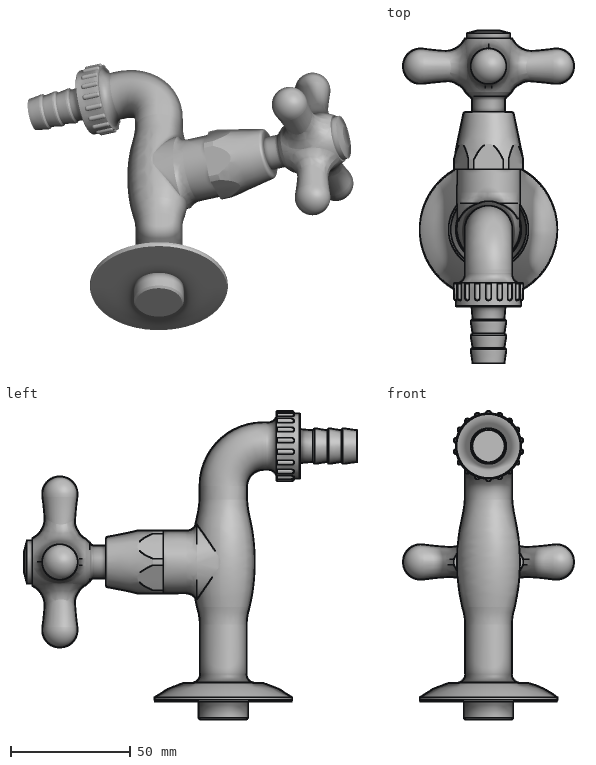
import cadquery as cq
import math


stub_radius = 10.5
stub_chamfer = 0.8
flange_bottom_z = 7.6
flange_radius = 29.0
flange_edge_height = 1.8
flange_bevel_height = 0.9
flange_bevel_inset = 0.3
flange_top_z = 15.5
flange_top_radius = 16.8
flange_dome_bulge = 0.7
recess_rim_radius = 15.9
recess_floor_radius = 13.8
recess_floor_z = 11.0

pipe_radius = 10.05
lower_pipe_radius = 9.9
collar_radius = 12.5
collar_top_z = 15.7
collar_flare_height = 3.8
valve_axis_z = 66.3
bulge_radius = 13.3
bulge_half_height = 18.95
bulge_shoulder_drop = 2.2
bulge_blend_height = 7.3

spout_axis_z = 115.0
bend_radius = 16.85
bend_angle = 90
spout_straight = 1.3
nut_back_y = -22.3
nut_front_y = -32.4
nut_radius = 13.8
nut_chamfer = 0.4
flare_end_radius = 12.4
rib_radius = 1.1
rib_height = 1.0
rib_count = 18
rib_length = 6.4
rib_bevel = 0.4
barb_end_y = -56.2
barb_root_radius = 7.2
barb_neck_radius = 6.75
barb_crest_radius = 7.5
barb_step_length = 0.7
barb_land_length = 0.65
barb_count = 3

branch_radius = 13.25
branch_end_y = 25.3
branch_flare_radius = 4.6
branch_flare_start_y = 15.5
branch_flare_depth = 4.4
branch_flare_steps = 5
bonnet_radius = 14.6
bonnet_cylinder_length = 4.2
bonnet_end_y = 49.45
bonnet_tip_radius = 10.5
bonnet_edge_radius = 1.3
bonnet_flat_count = 6
stem_radius = 7.0

hub_front_y = 53.9
hub_collar_y = 56.0
hub_collar_radius = 8.1
hub_barrel_front_y = 57.8
hub_barrel_front_radius = 9.8
hub_centre_y = 68.65
hub_radius = 12.7
hub_back_y = 80.3
hub_back_radius = 10.0
button_radius = 9.2
button_edge_y = 82.5
button_face_y = 83.74
button_face_radius = 4.5
handle_span = 72.0
knob_radius = 7.5
knob_tangent_offset = 1.1
neck_radius = 6.2
neck_start = 10.0
arm_fillet = 9.0
arm_count = 4


def revolve_about_z(outline):
    return outline.close().revolve(360, (0, 0), (0, 1))


def revolve_about_y(outline, axis_z):
    return outline.close().revolve(360, (0, 0), (0, 1)).translate((0, 0, axis_z))


def make_stub_and_flange():
    stub = cq.Workplane("XY").circle(stub_radius).extrude(flange_top_z)
    stub = stub.faces("<Z").edges().chamfer(stub_chamfer)

    edge_z = flange_bottom_z + flange_edge_height
    dome_run = flange_radius - flange_top_radius
    dome_rise = flange_top_z - edge_z
    dome_chord = math.hypot(dome_run, dome_rise)
    dome_middle = (
        (flange_radius + flange_top_radius) / 2 + flange_dome_bulge * dome_rise / dome_chord,
        (edge_z + flange_top_z) / 2 + flange_dome_bulge * dome_run / dome_chord,
    )
    flange = revolve_about_z(
        cq.Workplane("XZ")
        .moveTo(0, flange_bottom_z)
        .lineTo(flange_radius - flange_bevel_inset, flange_bottom_z)
        .lineTo(flange_radius, flange_bottom_z + flange_bevel_height)
        .lineTo(flange_radius, edge_z)
        .threePointArc(dome_middle, (flange_top_radius, flange_top_z))
        .lineTo(recess_rim_radius, flange_top_z)
        .lineTo(recess_floor_radius, recess_floor_z)
        .lineTo(0, recess_floor_z)
    )
    return stub.union(flange)


def make_column():
    shoulder_radius = bulge_radius - bulge_shoulder_drop
    lower_shoulder_z = valve_axis_z - bulge_half_height
    upper_shoulder_z = valve_axis_z + bulge_half_height
    pipe_top_z = spout_axis_z - bend_radius
    flare_middle = (
        collar_radius - (collar_radius - lower_pipe_radius) * math.sin(math.pi / 4),
        collar_top_z + collar_flare_height * (1 - math.cos(math.pi / 4)),
    )
    return revolve_about_z(
        cq.Workplane("XZ")
        .moveTo(0, flange_bottom_z)
        .lineTo(collar_radius, flange_bottom_z)
        .lineTo(collar_radius, collar_top_z)
        .threePointArc(flare_middle, (lower_pipe_radius, collar_top_z + collar_flare_height))
        .lineTo(lower_pipe_radius, lower_shoulder_z - bulge_blend_height)
        .tangentArcPoint((shoulder_radius, lower_shoulder_z), relative=False)
        .threePointArc((bulge_radius, valve_axis_z), (shoulder_radius, upper_shoulder_z))
        .tangentArcPoint((pipe_radius, upper_shoulder_z + bulge_blend_height), relative=False)
        .lineTo(pipe_radius, pipe_top_z)
        .lineTo(0, pipe_top_z)
    )


def make_branch():
    straight = (
        cq.Workplane("XZ", origin=(0, branch_end_y, valve_axis_z))
        .circle(branch_radius)
        .extrude(branch_end_y - branch_flare_start_y)
    )
    flare = cq.Workplane("XZ", origin=(0, branch_flare_start_y, valve_axis_z))
    section_step = branch_flare_depth / branch_flare_steps
    for index in range(branch_flare_steps + 1):
        depth = index * section_step
        rise = branch_flare_radius - math.sqrt(branch_flare_radius**2 - depth**2)
        flare = flare.ellipse(branch_radius, branch_radius + rise)
        if index < branch_flare_steps:
            flare = flare.workplane(offset=section_step)
    root_y = branch_flare_start_y - branch_flare_depth
    root = (
        cq.Workplane("XZ", origin=(0, root_y, valve_axis_z))
        .ellipse(branch_radius, branch_radius + rise)
        .extrude(root_y)
    )
    return straight.union(flare.loft()).union(root)


def make_elbow():
    bend = (
        cq.Workplane("XY", origin=(0, 0, spout_axis_z - bend_radius))
        .circle(pipe_radius)
        .revolve(bend_angle, (-bend_radius, -bend_radius), (bend_radius, -bend_radius))
    )
    flare_start_y = -bend_radius - spout_straight
    flare_length = flare_start_y - nut_back_y
    flare_middle = (
        pipe_radius + (flare_end_radius - pipe_radius) * (1 - math.cos(math.pi / 4)),
        flare_start_y - flare_length * math.sin(math.pi / 4),
    )
    spout_end = revolve_about_y(
        cq.Workplane("XY")
        .moveTo(0, -bend_radius)
        .lineTo(pipe_radius, -bend_radius)
        .lineTo(pipe_radius, flare_start_y)
        .threePointArc(flare_middle, (flare_end_radius, nut_back_y))
        .lineTo(0, nut_back_y),
        spout_axis_z,
    )
    return bend.union(spout_end)


def make_grip_rib(angle):
    rib_end_y = nut_back_y - rib_length
    round_middle = (rib_radius * math.sin(math.pi / 4), rib_end_y - rib_radius * math.cos(math.pi / 4))
    rib = (
        cq.Workplane("XY")
        .moveTo(0, nut_back_y)
        .lineTo(rib_radius - rib_bevel, nut_back_y)
        .lineTo(rib_radius, nut_back_y - rib_bevel)
        .lineTo(rib_radius, rib_end_y)
        .threePointArc(round_middle, (0, rib_end_y - rib_radius))
        .close()
        .revolve(360, (0, 0), (0, 1))
        .translate((0, 0, nut_radius + rib_height - rib_radius))
    )
    return rib.rotate((0, 0, 0), (0, 1, 0), angle).translate((0, 0, spout_axis_z))


def make_union_nut():
    nut = (
        cq.Workplane("XZ", origin=(0, nut_back_y, spout_axis_z))
        .circle(nut_radius)
        .extrude(nut_back_y - nut_front_y)
        .faces("<Y")
        .edges()
        .chamfer(nut_chamfer)
    )
    nut = nut.rotate((0, 0, spout_axis_z), (0, 1, spout_axis_z), 180 / rib_count)
    for index in range(rib_count):
        nut = nut.union(make_grip_rib(index * 360 / rib_count))
    return nut


def make_hose_barb():
    pitch = (nut_front_y - barb_end_y) / (barb_count + 1)
    outline = cq.Workplane("XY").moveTo(0, nut_front_y).lineTo(barb_root_radius, nut_front_y)
    for index in range(1, barb_count + 1):
        crest_y = nut_front_y - index * pitch
        outline = outline.lineTo(barb_neck_radius, crest_y + barb_step_length)
        outline = outline.lineTo(barb_crest_radius, crest_y)
        outline = outline.lineTo(barb_crest_radius, crest_y - barb_land_length)
    outline = outline.lineTo(barb_neck_radius, barb_end_y).lineTo(0, barb_end_y)
    return revolve_about_y(outline, spout_axis_z)


def make_bonnet():
    cone_start_y = branch_end_y + bonnet_cylinder_length
    turned = revolve_about_y(
        cq.Workplane("XY")
        .moveTo(0, branch_end_y)
        .lineTo(bonnet_radius, branch_end_y)
        .lineTo(bonnet_radius, cone_start_y)
        .lineTo(bonnet_tip_radius, bonnet_end_y)
        .lineTo(0, bonnet_end_y),
        valve_axis_z,
    )
    turned = turned.faces(">Y").edges().fillet(bonnet_edge_radius)
    hexagon = (
        cq.Workplane("XZ", origin=(0, branch_end_y, valve_axis_z))
        .polygon(bonnet_flat_count, 2 * branch_radius, circumscribed=True)
        .extrude(branch_end_y - bonnet_end_y)
        .rotate((0, 0, valve_axis_z), (0, 1, valve_axis_z), 180 / bonnet_flat_count)
    )
    return turned.intersect(hexagon)


def make_stem():
    return (
        cq.Workplane("XZ", origin=(0, bonnet_end_y, valve_axis_z))
        .circle(stem_radius)
        .extrude(bonnet_end_y - hub_centre_y)
    )


def make_hub():
    collar_middle = (
        stem_radius + (hub_collar_radius - stem_radius) * (1 - math.cos(math.pi / 4)),
        hub_front_y + (hub_collar_y - hub_front_y) * math.sin(math.pi / 4),
    )
    hub = revolve_about_y(
        cq.Workplane("XY")
        .moveTo(0, hub_front_y)
        .lineTo(stem_radius, hub_front_y)
        .threePointArc(collar_middle, (hub_collar_radius, hub_collar_y))
        .lineTo(hub_barrel_front_radius, hub_barrel_front_y)
        .threePointArc((hub_radius, hub_centre_y), (hub_back_radius, hub_back_y))
        .lineTo(0, hub_back_y),
        valve_axis_z,
    )
    return hub.rotate((0, 0, valve_axis_z), (0, 1, valve_axis_z), 180 / arm_count)


def make_button():
    return revolve_about_y(
        cq.Workplane("XY")
        .moveTo(0, hub_back_y)
        .lineTo(button_radius, hub_back_y)
        .lineTo(button_radius, button_edge_y)
        .lineTo(button_face_radius, button_face_y)
        .lineTo(0, button_face_y),
        valve_axis_z,
    )


def make_handle_arm(angle):
    tip = handle_span / 2
    knob_centre = tip - knob_radius
    knob_start = knob_centre - knob_tangent_offset
    knob_start_radius = math.sqrt(knob_radius**2 - knob_tangent_offset**2)
    knob_middle = (knob_centre + knob_radius * math.cos(math.pi / 4), knob_radius * math.sin(math.pi / 4))
    arm = (
        cq.Workplane("XY")
        .lineTo(0, neck_radius)
        .lineTo(neck_start, neck_radius)
        .tangentArcPoint((knob_start, knob_start_radius), relative=False)
        .threePointArc(knob_middle, (tip, 0))
        .close()
        .revolve(360, (0, 0), (1, 0))
    )
    return arm.rotate((0, 0, 0), (0, 1, 0), angle).translate((0, hub_centre_y, valve_axis_z))


def make_handle():
    handle = make_hub()
    for index in range(arm_count):
        handle = handle.union(make_handle_arm(index * 360 / arm_count))
    root_margin = 1.0
    arm_roots = cq.selectors.BoxSelector(
        (-hub_radius, hub_centre_y - neck_radius - root_margin, valve_axis_z - hub_radius),
        (hub_radius, hub_centre_y + neck_radius + root_margin, valve_axis_z + hub_radius),
    )
    handle = handle.edges(arm_roots).fillet(arm_fillet)
    return handle.union(make_button())


result = (
    make_stub_and_flange()
    .union(make_column())
    .union(make_branch())
    .union(make_elbow())
    .union(make_union_nut())
    .union(make_hose_barb())
    .union(make_bonnet())
    .union(make_stem())
    .union(make_handle())
)